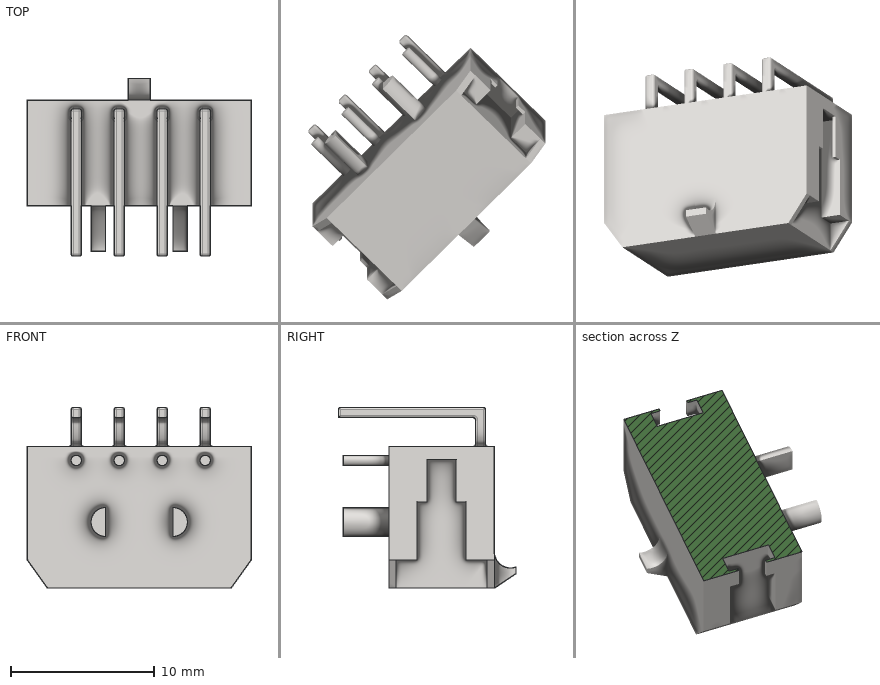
import cadquery as cq
import math


body_width = 15.65
body_depth = 7.37
body_height = 9.9
corner_cut_width = 1.42
corner_cut_height = 1.98

recess_depth = corner_cut_width
cheek_thickness = 0.5
wide_slot_width = 3.4
wide_slot_top = 6.03
narrow_slot_width = 2.03
narrow_slot_top = 9.0
lip_thickness = 0.23

pin_count = 4
pin_pitch = 3.0
pin_row_offset = 0.105
pin_size = 0.72
pin_round = 0.16
pin_top = 12.62
pin_leg_y = 6.40
pin_tip_y = -3.52
foot_radius = 0.15
round_pin_z = 8.92

peg_radius = 1.01
peg_flat_x = 2.35
peg_z = 4.62
board_side_length = 3.18

latch_width = 1.56
latch_reach = 1.52
latch_radius = 1.12
latch_tip_bottom = 1.02
latch_hollow_z = 1.42


def box(x_range, y_range, z_range):
    """Axis-aligned box given by its limits."""
    size = [high - low for low, high in (x_range, y_range, z_range)]
    corner = (x_range[0], y_range[0], z_range[0])
    return cq.Workplane("XY").box(*size, centered=False).translate(corner)


def make_housing():
    half = body_width / 2
    half_bottom = half - corner_cut_width
    outline = [
        (-half_bottom, 0),
        (half_bottom, 0),
        (half, corner_cut_height),
        (half, body_height),
        (-half, body_height),
        (-half, corner_cut_height),
    ]
    return cq.Workplane("XZ").polyline(outline).close().extrude(-body_depth)


def make_end_recess():
    """Material removed from the -X end."""
    outer = -body_width / 2
    through = (outer, outer + recess_depth)
    behind_lip = (outer + lip_thickness, outer + recess_depth)
    middle = body_depth / 2
    wide = (middle - wide_slot_width / 2, middle + wide_slot_width / 2)
    narrow = (middle - narrow_slot_width / 2, middle + narrow_slot_width / 2)

    foot = box(through, (cheek_thickness, body_depth - cheek_thickness), (0, corner_cut_height))
    wide_slot = box(through, wide, (corner_cut_height, wide_slot_top))
    narrow_slot = box(through, narrow, (wide_slot_top, narrow_slot_top))
    lip_pocket = box(behind_lip, wide, (wide_slot_top, narrow_slot_top))
    return foot.union(wide_slot).union(narrow_slot).union(lip_pocket)


def make_bent_pin(x):
    """L-shaped square pin with rounded edges, its leg standing on the housing.

    The lower edge across the tip stays sharp.
    """
    half = pin_size / 2
    x_range = (x - half, x + half)
    leg_back = pin_leg_y + half
    arm_bottom = pin_top - pin_size
    leg = box(x_range, (pin_leg_y - half, leg_back), (body_height, pin_top))
    arm = box(x_range, (pin_tip_y, leg_back), (arm_bottom, pin_top))
    pin = leg.union(arm)
    foot_edges = pin.faces("<Z").edges().vals()
    tip_lower_edge = pin.faces("<Y").edges("<Z").vals()
    left_sharp = foot_edges + tip_lower_edge
    rounded = [edge for edge in pin.edges().vals() if edge not in left_sharp]
    return pin.newObject(rounded).fillet(pin_round)


def make_round_pin(x):
    return (
        cq.Workplane("XZ", origin=(x, 0, round_pin_z))
        .circle(pin_size / 2)
        .extrude(board_side_length)
    )


def make_peg(side):
    """Half-round peg, bulging toward the given X side (-1 or +1)."""
    flat_x = side * peg_flat_x
    return (
        cq.Workplane("XZ")
        .moveTo(flat_x, peg_z - peg_radius)
        .threePointArc((flat_x + side * peg_radius, peg_z), (flat_x, peg_z + peg_radius))
        .close()
        .extrude(board_side_length)
    )


def make_latch():
    tip_y = body_depth + latch_reach
    centre_y = body_depth + latch_radius
    centre_z = latch_hollow_z + latch_radius
    tip_top = centre_z - math.sqrt(latch_radius**2 - (tip_y - centre_y) ** 2)
    return (
        cq.Workplane("YZ", origin=(-latch_width / 2, 0, 0))
        .moveTo(body_depth, 0)
        .lineTo(tip_y, latch_tip_bottom)
        .lineTo(tip_y, tip_top)
        .threePointArc((centre_y, latch_hollow_z), (body_depth, centre_z))
        .close()
        .extrude(latch_width)
    )


end_recess = make_end_recess()
result = make_housing().cut(end_recess).cut(end_recess.mirror("YZ"))

result = result.union(make_latch())
for side in (-1, 1):
    result = result.union(make_peg(side))

pin_positions = [pin_row_offset + (i - (pin_count - 1) / 2) * pin_pitch for i in range(pin_count)]
for x in pin_positions:
    result = result.union(make_bent_pin(x)).union(make_round_pin(x))

half_foot = pin_size / 2 + foot_radius
for x in pin_positions:
    foot_edges = cq.selectors.BoxSelector(
        (x - half_foot, pin_leg_y - half_foot, body_height - foot_radius / 2),
        (x + half_foot, pin_leg_y + half_foot, body_height + foot_radius / 2),
    )
    result = result.edges(foot_edges).fillet(foot_radius)